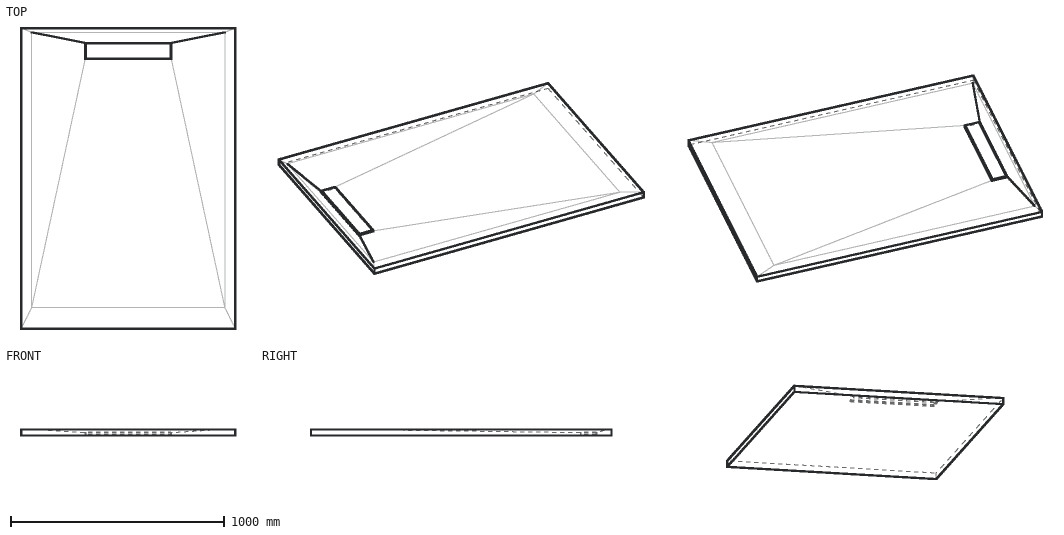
import cadquery as cq

tray_width = 1005.0
tray_length = 1410.0
tray_height = 30.0

side_border = 50.0
back_border = 20.0
front_border = 100.0

opening_width = 404.0
opening_length = 76.0
opening_back_margin = 70.0
floor_drop = 16.0
recess_depth = 6.0

cover_gap = 3.0
cover_rise = 3.0

opening_z = tray_height - floor_drop
recess_z = opening_z - recess_depth
cover_height = recess_depth + cover_rise

tray_back_y = tray_length / 2
tray_front_y = -tray_back_y
floor_width = tray_width - 2 * side_border
floor_back_y = tray_back_y - back_border
floor_front_y = tray_front_y + front_border
opening_back_y = tray_back_y - opening_back_margin
opening_front_y = opening_back_y - opening_length
opening_centre_y = (opening_back_y + opening_front_y) / 2


def rectangle_corners(width, front_y, back_y, z):
    """Corners of a level rectangle centred on X, counter-clockwise from the front left."""
    return [
        cq.Vector(-width / 2, front_y, z),
        cq.Vector(width / 2, front_y, z),
        cq.Vector(width / 2, back_y, z),
        cq.Vector(-width / 2, back_y, z),
    ]


def face_through(corners):
    """Planar face bounded by straight edges through the corners."""
    return cq.Face.makeFromWires(cq.Wire.makePolygon(corners, close=True))


def ring_faces(first, second):
    """Four faces joining matching sides of two rectangles, meeting along the corner lines."""
    faces = []
    for i in range(4):
        j = (i + 1) % 4
        faces.append(face_through([first[i], first[j], second[j], second[i]]))
    return faces


def make_tray():
    """Tray bounded by rings of faces: outer walls, mitred border, sloping floor, recess walls."""
    underside = rectangle_corners(tray_width, tray_front_y, tray_back_y, 0)
    top_edge = rectangle_corners(tray_width, tray_front_y, tray_back_y, tray_height)
    floor_edge = rectangle_corners(floor_width, floor_front_y, floor_back_y, tray_height)
    opening = rectangle_corners(opening_width, opening_front_y, opening_back_y, opening_z)
    recess_floor = rectangle_corners(opening_width, opening_front_y, opening_back_y, recess_z)

    rings = [underside, top_edge, floor_edge, opening, recess_floor]
    faces = [face_through(underside), face_through(recess_floor)]
    for first, second in zip(rings, rings[1:]):
        faces += ring_faces(first, second)
    return cq.Workplane(cq.Solid.makeSolid(cq.Shell.makeShell(faces)))


def make_drain_cover():
    """Flat plate on the recess floor, with an even gap all round and standing proud of the opening."""
    return (
        cq.Workplane("XY", origin=(0, opening_centre_y, recess_z))
        .rect(opening_width - 2 * cover_gap, opening_length - 2 * cover_gap)
        .extrude(cover_height)
    )


tray = make_tray()
drain_cover = make_drain_cover()

result = cq.Compound.makeCompound([tray.val(), drain_cover.val()])